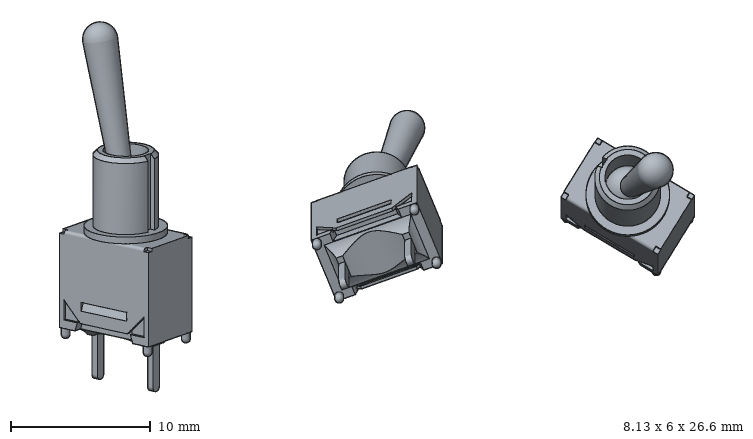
import cadquery as cq
import math

overall_height = 26.63
pin_length = 4.13

body_length = 8.13
body_width = 5.08
body_height = 7.27
cover_thickness = 0.23
cover_bend_radius = 0.23
post_size = 0.41
front_y = body_width / 2
post_inner_x = body_length / 2 - post_size

skirt_bottom = 0.64
skirt_clip = 1.51

notch_depth = 0.65
notch_height = 0.87
notch_bottom_half = 2.63
notch_top_half = 2.35

window_length = 4.14
window_bottom = 1.58
window_height = 0.65
window_depth = 0.3

flange_diameter = 6.0
flange_thickness = 0.5
bushing_diameter = 4.72
bushing_top = 13.4
bushing_chamfer = 0.33
keyway_width = 0.72
keyway_depth = 0.4
flange_top = body_height + flange_thickness

ball_diameter = 3.25
pivot_z = 9.66
lever_tilt = 11.4
lever_top_z = overall_height - pin_length
tip_radius = 1.27
lever_root_radius = 0.72
tip_center_z = lever_top_z - tip_radius
lever_length = (tip_center_z - pivot_z) / math.cos(math.radians(lever_tilt))

foot_diameter = 0.65
foot_straight = 0.5
pin_spacing = 5.08
pin_thickness = 0.5
pin_width = 0.76
seal_depth = 0.67
seal_center_depth = 0.06
seal_half_length = 3.33
seal_half_width = 1.85
seal_tip_half_width = 0.86
seal_flank_drop = 0.22

overlap = 0.2


def both_sides(shape):
    """The shape together with its mirror image across the XZ plane."""
    return shape.union(shape.mirror("XZ"))


def skirt_plane(y):
    """XZ sketch plane at the given y; extrusion runs toward -Y."""
    return cq.Workplane("XZ", origin=(0, y, 0))


def make_base():
    """Block with four corner posts, recessed where the cover lies."""
    post_top = body_height - cover_thickness
    base = cq.Workplane("XY").box(body_length, body_width, post_top, centered=(True, True, False))
    recess = (
        cq.Workplane("XY", origin=(0, -front_y, skirt_bottom))
        .box(2 * post_inner_x, 2 * cover_thickness, post_top, centered=(True, True, False))
    )
    notch = (
        skirt_plane(notch_depth - front_y)
        .polyline([
            (-notch_bottom_half, 0),
            (notch_bottom_half, 0),
            (notch_top_half, notch_height),
            (-notch_top_half, notch_height),
        ])
        .close()
        .extrude(notch_depth)
    )
    return base.cut(both_sides(recess)).cut(both_sides(notch))


def make_cover():
    """Sheet cover: top plate with two bent skirts lying between the posts."""
    bend = (
        cq.Workplane("XY")
        .box(2 * post_inner_x, body_width, body_height, centered=(True, True, False))
        .edges("|X and >Z")
        .fillet(cover_bend_radius)
    )
    core = cq.Workplane("XY").box(
        body_length, body_width - 2 * cover_thickness, body_height - cover_thickness,
        centered=(True, True, False),
    )
    skirt_outline = (
        skirt_plane(front_y)
        .polyline([
            (-post_inner_x + skirt_clip, skirt_bottom),
            (post_inner_x - skirt_clip, skirt_bottom),
            (post_inner_x, skirt_bottom + skirt_clip),
            (post_inner_x, body_height),
            (-post_inner_x, body_height),
            (-post_inner_x, skirt_bottom + skirt_clip),
        ])
        .close()
        .extrude(body_width)
    )
    plate = (
        cq.Workplane("XY", origin=(0, 0, body_height - cover_thickness))
        .box(body_length, body_width - 2 * post_size, cover_thickness, centered=(True, True, False))
    )
    return bend.cut(core).intersect(skirt_outline).union(plate)


def make_window():
    """Cutter for the window in the -Y skirt; its floor deepens upward."""
    window_top = window_bottom + window_height
    return (
        cq.Workplane("YZ", origin=(-window_length / 2, 0, 0))
        .polyline([
            (-front_y, window_bottom),
            (-front_y + window_depth, window_top),
            (-front_y, window_top),
        ])
        .close()
        .extrude(window_length)
    )


def make_bushing():
    """Flanged bushing, bored down to the pivot, with a keyway on +X."""
    flange = (
        cq.Workplane("XY", origin=(0, 0, body_height))
        .circle(flange_diameter / 2)
        .extrude(flange_thickness)
    )
    barrel = (
        cq.Workplane("XY", origin=(0, 0, body_height))
        .circle(bushing_diameter / 2)
        .extrude(bushing_top - body_height)
        .faces(">Z")
        .chamfer(bushing_chamfer)
    )
    bore = (
        cq.Workplane("XY", origin=(0, 0, pivot_z))
        .circle(ball_diameter / 2)
        .extrude(bushing_top - pivot_z)
    )
    keyway = (
        cq.Workplane("XY", origin=(bushing_diameter / 2, 0, flange_top))
        .box(2 * keyway_depth, keyway_width, bushing_top - flange_top, centered=(True, True, False))
    )
    return flange.union(barrel.cut(bore).cut(keyway))


def make_lever():
    """Pivot ball and tapered, round-tipped lever tilted toward -X."""
    ball = cq.Workplane("XY").sphere(ball_diameter / 2)
    dome_offset = tip_radius * math.cos(math.radians(45))
    stick = (
        cq.Workplane("XZ")
        .moveTo(0, 0)
        .lineTo(lever_root_radius, 0)
        .lineTo(tip_radius, lever_length)
        .threePointArc(
            (dome_offset, lever_length + dome_offset),
            (0, lever_length + tip_radius),
        )
        .close()
        .revolve(360, (0, 0, 0), (0, 1, 0))
        .rotate((0, 0, 0), (0, 1, 0), -lever_tilt)
    )
    return ball.union(stick).translate((0, 0, pivot_z))


def make_foot():
    """Standoff foot with a hemispherical end."""
    radius = foot_diameter / 2
    shank = cq.Workplane("XY").circle(radius).extrude(-foot_straight)
    return shank.union(cq.Workplane("XY", origin=(0, 0, -foot_straight)).sphere(radius))


def make_pin():
    """Flat terminal pin with a full-round end."""
    half = pin_width / 2
    shoulder = half - pin_length
    return (
        cq.Workplane("YZ", origin=(-pin_thickness / 2, 0, 0))
        .moveTo(-half, overlap)
        .lineTo(-half, shoulder)
        .threePointArc((0, -pin_length), (half, shoulder))
        .lineTo(half, overlap)
        .close()
        .extrude(pin_thickness)
    )


def make_seal():
    """Sealing compound drawn down around the pins, arched between them."""
    pin_outer = (pin_spacing + pin_thickness) / 2
    pin_inner = (pin_spacing - pin_thickness) / 2
    end_x = (seal_half_length + pin_outer) / 2
    flank_y = (seal_half_width + seal_tip_half_width) / 2
    lengthwise = (
        skirt_plane(seal_half_width)
        .moveTo(-seal_half_length, overlap)
        .lineTo(-seal_half_length, 0)
        .threePointArc((-end_x, -seal_flank_drop), (-pin_outer, -seal_depth))
        .lineTo(-pin_inner, -seal_depth)
        .threePointArc((0, -seal_center_depth), (pin_inner, -seal_depth))
        .lineTo(pin_outer, -seal_depth)
        .threePointArc((end_x, -seal_flank_drop), (seal_half_length, 0))
        .lineTo(seal_half_length, overlap)
        .close()
        .extrude(2 * seal_half_width)
    )
    crosswise = (
        cq.Workplane("YZ", origin=(-seal_half_length, 0, 0))
        .moveTo(-seal_half_width, overlap)
        .lineTo(-seal_half_width, 0)
        .threePointArc((-flank_y, -seal_flank_drop), (-seal_tip_half_width, -seal_depth))
        .lineTo(seal_tip_half_width, -seal_depth)
        .threePointArc((flank_y, -seal_flank_drop), (seal_half_width, 0))
        .lineTo(seal_half_width, overlap)
        .close()
        .extrude(2 * seal_half_length)
    )
    return lengthwise.intersect(crosswise)


result = make_base().union(make_cover()).cut(both_sides(make_window()))
result = result.union(make_bushing()).union(make_lever()).union(make_seal())

foot_x = (body_length - foot_diameter) / 2
foot_y = (body_width - foot_diameter) / 2
for side_x in (-1, 1):
    result = result.union(make_pin().translate((side_x * pin_spacing / 2, 0, 0)))
    for side_y in (-1, 1):
        result = result.union(make_foot().translate((side_x * foot_x, side_y * foot_y, 0)))